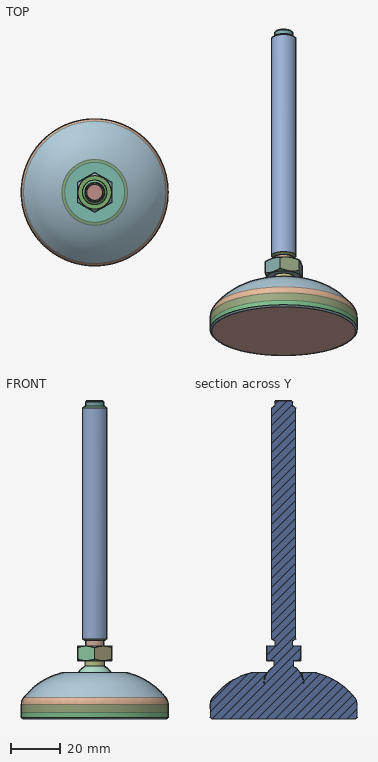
import cadquery as cq
import math


base_diameter = 60.0
base_top = 19.0
pad_height = 2.6
pad_chamfer = 0.7
dome_radius = 28.5
dome_top_diameter = 25.6
dome_rim_height = 7.4
dome_top_fillet = 5.0
dome_rim_fillet = 4.7

ball_diameter = 16.0
socket_diameter = 16.2
socket_mouth_diameter = 14.2
ball_centre = 14.6

total_height = 129.7
lower_neck_diameter = 8.06
hex_across_flats = 14.0
hex_bottom = 23.7
hex_top = 29.8
hex_chamfer_diameter = 13.6
hex_chamfer_angle = 30.0
relief_diameter = 7.5
thread_diameter = 10.0
thread_root_diameter = 8.06
thread_bottom = 31.9
thread_top = 127.5
thread_end_cone_height = 0.8
tip_chamfer = 0.5


def cylinder(diameter, bottom, top):
    return cq.Workplane("XY").workplane(offset=bottom).circle(diameter / 2).extrude(top - bottom)


def sphere(diameter):
    return cq.Workplane("XY").sphere(diameter / 2).translate((0, 0, ball_centre))


def make_pad():
    return cylinder(base_diameter, 0, pad_height).faces("<Z").chamfer(pad_chamfer)


def make_dome():
    base_radius = base_diameter / 2
    top_radius = dome_top_diameter / 2
    dome = (
        cq.Workplane("XZ")
        .moveTo(0, pad_height)
        .lineTo(base_radius, pad_height)
        .lineTo(base_radius, dome_rim_height)
        .radiusArc((top_radius, base_top), -dome_radius)
        .lineTo(0, base_top)
        .close()
        .revolve(360, (0, 0), (0, 1))
    )
    dome = dome.edges(cq.selectors.NearestToPointSelector((0, base_radius, dome_rim_height)))
    dome = dome.fillet(dome_rim_fillet)
    return dome.faces(">Z").edges().fillet(dome_top_fillet)


def make_base():
    """Dome on its pad, with a thin gap around the ball above its widest level."""
    socket = sphere(socket_diameter).intersect(cylinder(base_diameter, ball_centre, total_height))
    mouth = cylinder(socket_mouth_diameter, ball_centre, base_top)
    return make_dome().union(make_pad(), clean=False).cut(socket).cut(mouth)


def make_hexagon():
    corner_diameter = hex_across_flats / math.cos(math.pi / 6)
    hexagon = (
        cq.Workplane("XY")
        .workplane(offset=hex_bottom)
        .transformed(rotate=(0, 0, 90))
        .polygon(6, corner_diameter)
        .extrude(hex_top - hex_bottom)
    )
    corner_radius = corner_diameter / 2
    chamfer_radius = hex_chamfer_diameter / 2
    corner_drop = (corner_radius - chamfer_radius) * math.tan(math.radians(hex_chamfer_angle))
    envelope = (
        cq.Workplane("XZ")
        .moveTo(0, hex_bottom)
        .lineTo(chamfer_radius, hex_bottom)
        .lineTo(corner_radius, hex_bottom + corner_drop)
        .lineTo(corner_radius, hex_top - corner_drop)
        .lineTo(chamfer_radius, hex_top)
        .lineTo(0, hex_top)
        .close()
        .revolve(360, (0, 0), (0, 1))
    )
    return hexagon.intersect(envelope)


def make_shank():
    """Threaded length between two end cones that start at the thread root."""
    cone = thread_end_cone_height
    root_radius = thread_root_diameter / 2
    thread_radius = thread_diameter / 2
    thread = (
        cq.Workplane("XZ")
        .moveTo(0, thread_bottom)
        .lineTo(root_radius, thread_bottom)
        .lineTo(thread_radius, thread_bottom + cone)
        .lineTo(thread_radius, thread_top - cone)
        .lineTo(root_radius, thread_top)
        .lineTo(0, thread_top)
        .close()
        .revolve(360, (0, 0), (0, 1))
    )
    core = cylinder(relief_diameter, hex_top, total_height).faces(">Z").chamfer(tip_chamfer)
    return core.union(thread)


def make_stud():
    neck = cylinder(lower_neck_diameter, ball_centre, hex_bottom)
    return sphere(ball_diameter).union(neck).union(make_hexagon()).union(make_shank())


result = make_base().union(make_stud(), clean=False)